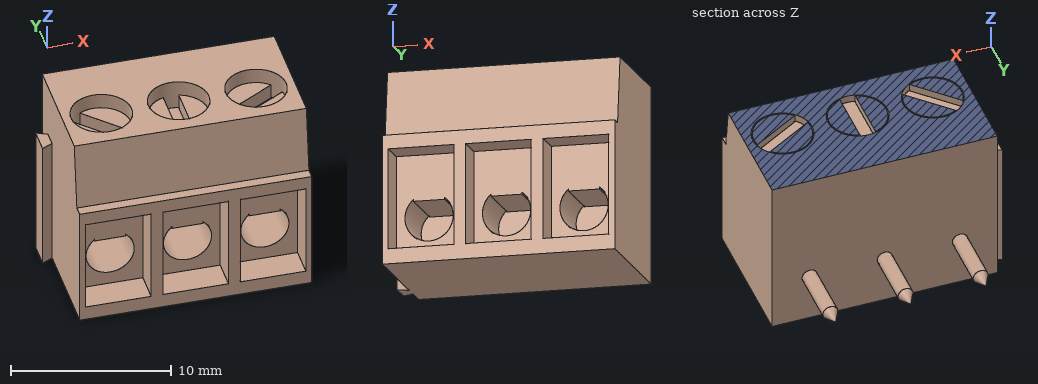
import cadquery as cq
import math

poles = 3
pitch = 5.0
width = 15.0
depth = 9.0
height = 12.7
step_height = 8.3
step_inset = 0.68
top_inset = 1.29

rail_height = 9.0
rail_projection = 0.7
rail_outer_width = 1.7
rail_root_width = 0.97
rail_y = depth - 1.88

window_width = 4.22
window_height = 6.44
window_base = 0.97
window_depth = 2.0
wire_diameter = 3.11
wire_z = 3.39
wire_depth = 3.99
tongue_z = 4.46
tongue_width = 2.01

screw_y = 4.11
well_diameter = 3.9
head_diameter = 3.8
head_recess = 1.0
slot_width = 1.0
slot_depth = 1.0
slot_angles = (-45, 90, 30)

pin_diameter = 1.0
pin_length = 4.71
tip_length = 0.97

pole_xs = [width / 2 + (i - (poles - 1) / 2) * pitch for i in range(poles)]


def make_housing():
    profile = [
        (0, 0), (depth, 0), (depth, height), (top_inset, height),
        (step_inset, step_height), (0, step_height),
    ]
    return cq.Workplane("YZ").polyline(profile).close().extrude(width)


def make_rail():
    outer = rail_outer_width / 2
    root = rail_root_width / 2
    profile = [
        (0, rail_y - root), (0, rail_y + root),
        (-rail_projection, rail_y + outer), (-rail_projection, rail_y - outer),
    ]
    return cq.Workplane("XY").polyline(profile).close().extrude(rail_height)


def make_wire_opening(x):
    """Rectangular window leading to a round bore with a flattened top."""
    window = cq.Workplane("XY").box(
        window_width, window_depth, window_height, centered=(True, False, False)
    ).translate((x, 0, window_base))

    radius = wire_diameter / 2
    half_tongue = tongue_width / 2
    shoulder_z = wire_z + math.sqrt(radius**2 - half_tongue**2)
    bore = (
        cq.Workplane("XZ", origin=(x, window_depth, 0))
        .moveTo(-half_tongue, shoulder_z)
        .threePointArc((0, wire_z - radius), (half_tongue, shoulder_z))
        .lineTo(half_tongue, tongue_z)
        .lineTo(-half_tongue, tongue_z)
        .close()
        .extrude(-wire_depth)
    )
    return window.union(bore)


def make_screw_well(x, slot_angle):
    """Space around a recessed, slotted screw head."""
    well_depth = head_recess + slot_depth
    floor = cq.Workplane("XY", origin=(x, screw_y, height - well_depth))
    well = floor.circle(well_diameter / 2).extrude(well_depth)
    head = floor.circle(head_diameter / 2).extrude(slot_depth)
    slot = (
        floor.transformed(rotate=(0, 0, slot_angle))
        .rect(well_diameter, slot_width)
        .extrude(slot_depth)
    )
    return well.cut(head.cut(slot))


def make_pin(x):
    radius = pin_diameter / 2
    shank_length = pin_length - tip_length
    profile = [(0, 0), (radius, 0), (radius, shank_length), (0, pin_length)]
    return (
        cq.Workplane("XY")
        .polyline(profile).close()
        .revolve(360, (0, 0), (0, 1))
        .translate((x, depth, wire_z))
    )


result = make_housing().union(make_rail())
for pole_x, angle in zip(pole_xs, slot_angles):
    result = result.cut(make_wire_opening(pole_x))
    result = result.cut(make_screw_well(pole_x, angle))
    result = result.union(make_pin(pole_x))